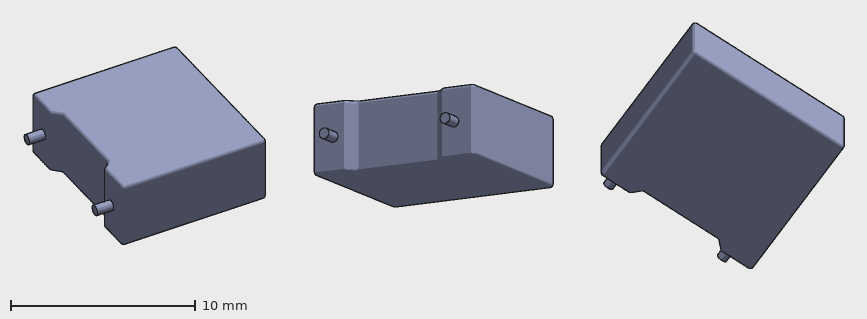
import cadquery as cq

width = 10.0
case_length = 9.0
height = 4.0
edge_radius = 0.2

recess_depth = 0.5
recess_mouth = 6.0
recess_floor = recess_mouth - 2 * recess_depth

lead_diameter = 0.6
lead_length = 1.0
lead_pitch = 7.5

lead_face_y = -case_length / 2


def make_case():
    """Block with a trapezoidal recess in its -Y face and every edge rounded."""
    outline = [
        (-width / 2, -lead_face_y),
        (-width / 2, lead_face_y),
        (-recess_mouth / 2, lead_face_y),
        (-recess_floor / 2, lead_face_y + recess_depth),
        (recess_floor / 2, lead_face_y + recess_depth),
        (recess_mouth / 2, lead_face_y),
        (width / 2, lead_face_y),
        (width / 2, -lead_face_y),
    ]
    block = cq.Workplane("XY").polyline(outline).close().extrude(height / 2, both=True)
    return block.edges().fillet(edge_radius)


def make_leads():
    """Two round leads standing out of the -Y face, starting inside the case."""
    embedded_length = lead_length
    return (
        cq.Workplane("XZ", origin=(0, lead_face_y + embedded_length, 0))
        .pushPoints([(-lead_pitch / 2, 0), (lead_pitch / 2, 0)])
        .circle(lead_diameter / 2)
        .extrude(embedded_length + lead_length)
    )


result = make_case().union(make_leads())